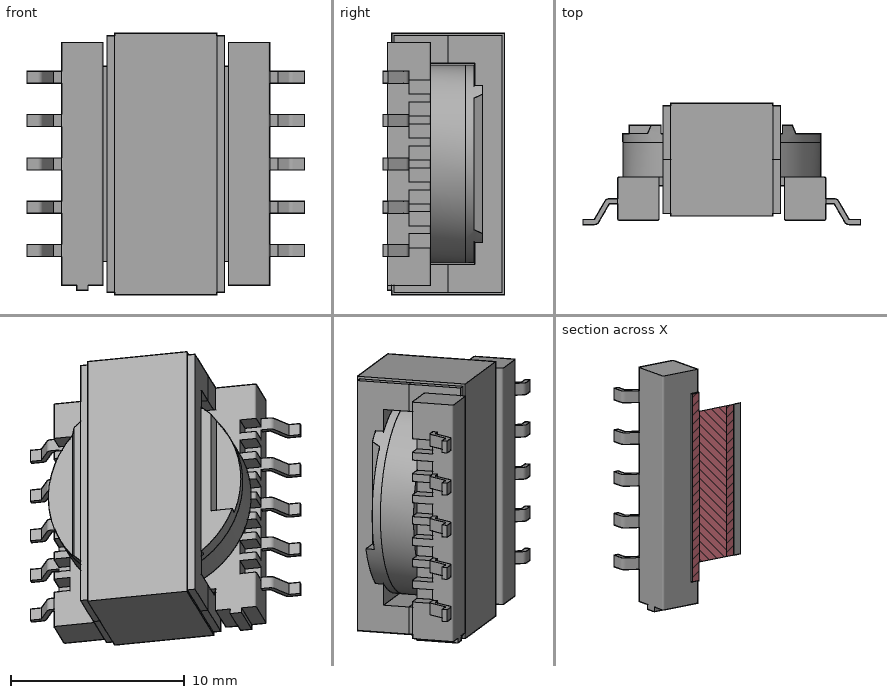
import cadquery as cq
import math


TOTAL_X = 16
TOTAL_Y = 7.0
TOTAL_Z = 15.07

TAPE_X = 5.89
TAPE_THICKNESS = 0.15
TAPE_BOTTOM = 0.5

CORE_X = 6.78
CORE_Z = TOTAL_Z - 2 * TAPE_THICKNESS
CORE_BOTTOM = TAPE_BOTTOM + TAPE_THICKNESS
CORE_TOP = TOTAL_Y - TAPE_THICKNESS
CORE_SPLIT = (CORE_BOTTOM + CORE_TOP) / 2
WINDOW_Z = 11.58
WINDOW_HEIGHT = 3.05

RAIL_X = 2.4
RAIL_HEIGHT = 2.5
RAIL_Z = 14.0
RAIL_BOTTOM = 0.25
RAIL_TOP = RAIL_BOTTOM + RAIL_HEIGHT
RAIL_OUTER_X = 6.0
RAIL_INNER_X = RAIL_OUTER_X - RAIL_X
RAIL_FILLET = 0.11
NUB_X = 0.67
NUB_LENGTH = 0.29
PLATE_THICKNESS = 0.51
PLATE_Z = 11.26
HUB_RADIUS = 2.56

SLOT_COUNT = 8
SLOT_PITCH = 1.26
SLOT_WIDTH = 0.82
SLOT_DEPTH = 0.96

WINDING_RADIUS = 5.71
WINDING_TOP = 4.75
FLANGE_THICKNESS = 0.5
FLANGE_TOP = WINDING_TOP + FLANGE_THICKNESS
LIP_HEIGHT = 0.5
LIP_TOP = FLANGE_TOP + LIP_HEIGHT
LIP_INNER_X = 3.49
LIP_TOP_X = 4.06
LIP_FOOT_X = 4.27
LIP_TRIM_END_Z = -2.05

PIN_COUNT = 5
PIN_PITCH = 2.5
PIN_WIDTH = 0.7
PIN_THICKNESS = 0.3
PIN_TOP = 1.5
PIN_FOOT_LENGTH = 0.65
PIN_SLOPE = math.radians(60)


def block(x_min, x_max, y_min, y_max, z_size, z_centre=0):
    """Box given by its X and Y limits and its size along Z."""
    size = (x_max - x_min, y_max - y_min, z_size)
    centre = ((x_min + x_max) / 2, (y_min + y_max) / 2, z_centre)
    return cq.Workplane("XY").box(*size).translate(centre)


def disc(radius, y_min, y_max):
    """Cylinder along Y between two heights."""
    base = cq.Plane(origin=(0, y_min, 0), xDir=(1, 0, 0), normal=(0, 1, 0))
    return cq.Workplane(base).circle(radius).extrude(y_max - y_min)


def prism(outline, z_size):
    """Closed XY outline extruded along Z, half to each side of Z = 0."""
    return outline.close().extrude(z_size / 2, both=True)


def row_places(count, pitch):
    """Z positions of a row centred on Z = 0."""
    return [(i - (count - 1) / 2) * pitch for i in range(count)]


def make_tape():
    outer = block(-TAPE_X / 2, TAPE_X / 2, TAPE_BOTTOM, TOTAL_Y, TOTAL_Z)
    inner = block(-TAPE_X / 2, TAPE_X / 2, CORE_BOTTOM, CORE_TOP, CORE_Z)
    return outer.cut(inner)


def make_core_half(y_min, y_max):
    """U-shaped half: the part of the core between two heights, less the winding window."""
    half = block(-CORE_X / 2, CORE_X / 2, y_min, y_max, CORE_Z)
    window_bottom = CORE_SPLIT - WINDOW_HEIGHT / 2
    window_top = CORE_SPLIT + WINDOW_HEIGHT / 2
    window = block(-CORE_X / 2, CORE_X / 2, window_bottom, window_top, WINDOW_Z)
    return half.cut(window)


def make_winding():
    ring = disc(WINDING_RADIUS, RAIL_TOP, WINDING_TOP)
    return ring.cut(disc(HUB_RADIUS, RAIL_TOP, WINDING_TOP))


def make_rail():
    """The +X rail, with slots that open outwards and towards +Y."""
    rail = block(RAIL_INNER_X, RAIL_OUTER_X, RAIL_BOTTOM, RAIL_TOP, RAIL_Z)
    rail = rail.edges("|Z").edges(">X or <Y").fillet(RAIL_FILLET)
    slot_floor_x = RAIL_OUTER_X - SLOT_DEPTH
    for z in row_places(SLOT_COUNT, SLOT_PITCH):
        rail = rail.cut(block(slot_floor_x, RAIL_OUTER_X, PIN_TOP, RAIL_TOP, SLOT_WIDTH, z))
    return rail


def make_nub():
    """Marking nub on the -Z end of the -X rail."""
    centre_x = -(RAIL_INNER_X + RAIL_OUTER_X) / 2
    centre_z = -(RAIL_Z + NUB_LENGTH) / 2
    return block(centre_x - NUB_X / 2, centre_x + NUB_X / 2, RAIL_BOTTOM, RAIL_TOP, NUB_LENGTH, centre_z)


def make_pin():
    """One +X pin: both bends turn about their sharp inner corners with the sheet thickness as radius."""
    t = PIN_THICKNESS
    foot_x = TOTAL_X / 2 - PIN_FOOT_LENGTH
    pin_bottom = PIN_TOP - t
    slope_length = (pin_bottom - t + t * math.cos(PIN_SLOPE)) / math.sin(PIN_SLOPE)
    knee_x = foot_x - slope_length * math.cos(PIN_SLOPE) - t * math.sin(PIN_SLOPE)

    def around(x, y, sign, angle):
        """Point one thickness from an inner corner, turned by an angle from straight up or down."""
        return (x + sign * t * math.sin(angle), y + sign * t * math.cos(angle))

    outline = (
        cq.Workplane("XY")
        .moveTo(RAIL_OUTER_X, PIN_TOP)
        .lineTo(knee_x, PIN_TOP)
        .threePointArc(
            around(knee_x, pin_bottom, 1, PIN_SLOPE / 2),
            around(knee_x, pin_bottom, 1, PIN_SLOPE),
        )
        .lineTo(foot_x, t)
        .lineTo(TOTAL_X / 2, t)
        .lineTo(TOTAL_X / 2, 0)
        .lineTo(foot_x, 0)
        .threePointArc(around(foot_x, t, -1, PIN_SLOPE / 2), around(foot_x, t, -1, PIN_SLOPE))
        .lineTo(knee_x, pin_bottom)
        .lineTo(RAIL_OUTER_X, pin_bottom)
    )
    return prism(outline, PIN_WIDTH)


def lip_trim(side):
    """Everything above the flange that lies outside the sloping outer wall of one lip."""
    outline = cq.Workplane("XY").polyline(
        [
            (side * LIP_TOP_X, LIP_TOP),
            (side * LIP_FOOT_X, FLANGE_TOP),
            (side * WINDING_RADIUS, FLANGE_TOP),
            (side * WINDING_RADIUS, LIP_TOP),
        ]
    )
    return prism(outline, 2 * WINDING_RADIUS)


def make_flange():
    """Round flange with a raised lip on each side of the core."""
    flange = disc(WINDING_RADIUS, WINDING_TOP, LIP_TOP)
    flange = flange.cut(block(-LIP_INNER_X, LIP_INNER_X, FLANGE_TOP, LIP_TOP, 2 * WINDING_RADIUS))
    kept_z = LIP_TRIM_END_Z + WINDING_RADIUS
    kept = block(-WINDING_RADIUS, 0, FLANGE_TOP, LIP_TOP, kept_z, LIP_TRIM_END_Z - kept_z / 2)
    return flange.cut(lip_trim(1)).cut(lip_trim(-1).cut(kept))


def make_bobbin():
    bobbin = block(-RAIL_INNER_X, RAIL_INNER_X, RAIL_TOP - PLATE_THICKNESS, RAIL_TOP, PLATE_Z)
    bobbin = bobbin.union(disc(HUB_RADIUS, RAIL_TOP, WINDING_TOP)).union(make_flange())
    half = make_rail()
    pin = make_pin()
    for z in row_places(PIN_COUNT, PIN_PITCH):
        half = half.union(pin.translate((0, 0, z)))
    bobbin = bobbin.union(half).union(half.mirror("YZ"))
    return bobbin.union(make_nub())


tape = make_tape()
lower_core = make_core_half(CORE_BOTTOM, CORE_SPLIT)
upper_core = make_core_half(CORE_SPLIT, CORE_TOP)
winding = make_winding()
bobbin = make_bobbin()

result = cq.Compound.makeCompound(
    [tape.val(), lower_core.val(), upper_core.val(), winding.val(), bobbin.val()]
)